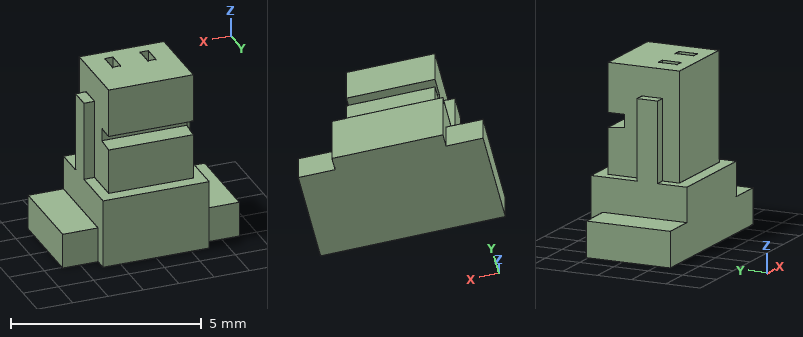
import cadquery as cq

flange_width = 5
flange_depth = 2.45
flange_height = 1

body_width = 3
body_depth = 2.8
body_height = 1.96

tower_width = 2.4
tower_front = 0.36
tower_back = flange_depth
tower_top = 5

rib_front = 0.855
rib_thickness = 0.6
rib_top = 4.2

notch_depth = 0.48
notch_top = 3.635
notch_mouth_bottom = 3.235
notch_inner_bottom = 3.285

slot_width = 0.23
slot_front = 0.715
slot_length = 0.54
slot_pitch = 1
slot_depth = 1


def centred_block(width, front, depth, bottom, top):
    """Box centred on X, placed by its front face and its bottom and top levels."""
    return (
        cq.Workplane("XY")
        .box(width, depth, top - bottom, centered=(True, False, False))
        .translate((0, front, bottom))
    )


def latch_notch():
    """Notch across the tower's back face, with a floor sloping down to its mouth."""
    inner_y = tower_back - notch_depth
    return (
        cq.Workplane("YZ")
        .moveTo(tower_back, notch_mouth_bottom)
        .lineTo(tower_back, notch_top)
        .lineTo(inner_y, notch_top)
        .lineTo(inner_y, notch_inner_bottom)
        .close()
        .extrude(tower_width / 2, both=True)
    )


flange = centred_block(flange_width, 0, flange_depth, 0, flange_height)
body = centred_block(body_width, 0, body_depth, 0, body_height)

tower = centred_block(tower_width, tower_front, tower_back - tower_front, body_height, tower_top)
tower = tower.cut(latch_notch())

ribs = centred_block(body_width, rib_front, rib_thickness, body_height, rib_top)

result = flange.union(body).union(tower).union(ribs)

for slot_x in (-slot_pitch / 2, slot_pitch / 2):
    slot = centred_block(slot_width, slot_front, slot_length, tower_top - slot_depth, tower_top)
    result = result.cut(slot.translate((slot_x, 0, 0)))